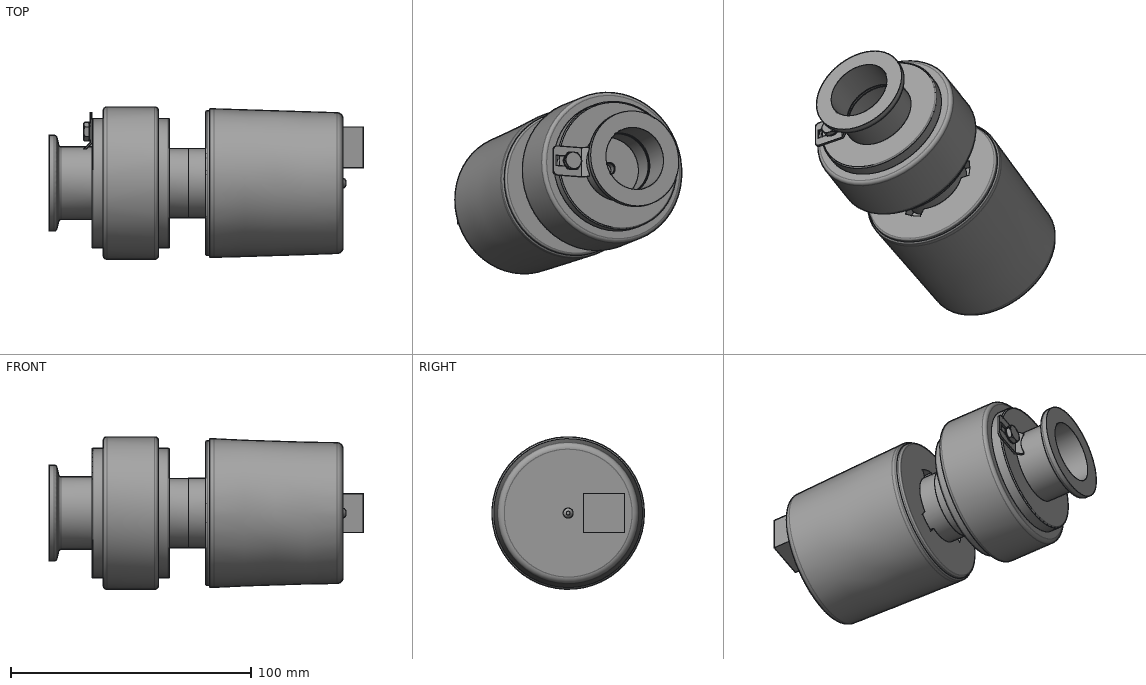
import cadquery as cq
import math


flange_radius = 20.0
flange_thickness = 3.0
flange_rim_fillet = 1.3
flange_root_fillet = 0.9
neck_start_x = 4.2
neck_radius = 15.2

hub_start_x = 17.8
hub_end_x = 50.1
hub_radius = 54.0 / 2
hub_edge_fillet = 0.5
collar_start_x = 22.5
collar_end_x = 45.5
collar_radius = 63.5 / 2
collar_fillet = 1.6

bore_radius = 26.2 / 2
rib_start_x = 14.3
rib_width = 1.2
rib_height = 0.3
bore_floor_x = 26.2
socket_radius = 4.6 / 2
socket_depth = 3.9
socket_rim_radius = 5.1 / 2
socket_rim_depth = 0.5

rear_neck_radius = 29.0 / 2
rear_neck_seam_x = 57.9
rear_neck_step = 0.07

housing_start_x = 65.1
housing_end_x = 122.4
lip_radius = 30.2
lip_edge_fillet = 0.8
lip_end_x = 66.7
shoulder_radius = 31.0
shoulder_fillet = 0.5
shoulder_end_x = 68.6
housing_rear_radius = 29.3
housing_rear_fillet = 2.7

window_count = 3
window_width = 8.0
window_outer_radius = 18.0
window_depth = 3.9

total_length = 130.8
connector_width = 17
connector_height = 16.2
connector_center_y = 14.9
dome_base_radius = 2.1
dome_tip_radius = 0.8
dome_height = 1.2

bracket_thickness = 0.8
bracket_width = 12.3
bracket_outer_y = 29.4
bracket_corner_radius = 1.8
bracket_bend_y = 16.9
bracket_foot_y = 14.3
slot_inner_y = 23.8
slot_outer_y = 28.2
slot_width = 4.3

nut_center_y = 21.5
nut_across_flats = 6.9
nut_corner_diameter = nut_across_flats / math.cos(math.pi / 6)
nut_thickness = 2.6
nut_washer_thickness = 0.5
nut_chamfer = 0.5


def rod(start_x, end_x, radius):
    """Cylinder on the common axis between two X positions."""
    return cq.Workplane("YZ").workplane(offset=start_x).circle(radius).extrude(end_x - start_x)


def circle_at(x):
    """Selector for the round edge centred on the common axis at one X position."""
    reach = 0.1
    return cq.selectors.BoxSelector((x - reach, -reach, -reach), (x + reach, reach, reach))


def make_pipe_end():
    """Flange with a conical back, running into the neck."""
    pipe_end = (
        cq.Workplane("XY")
        .lineTo(0, flange_radius)
        .lineTo(flange_thickness, flange_radius)
        .lineTo(neck_start_x, neck_radius)
        .lineTo(hub_start_x, neck_radius)
        .lineTo(hub_start_x, 0)
        .close()
        .revolve(360, (0, 0, 0), (1, 0, 0))
    )
    rounded_root = pipe_end.edges(circle_at(neck_start_x)).fillet(flange_root_fillet)
    return rounded_root.edges(circle_at(flange_thickness)).fillet(flange_rim_fillet)


def make_union():
    """Hub surrounded by a wider collar, all outer edges rounded."""
    hub = rod(hub_start_x, hub_end_x, hub_radius).edges().fillet(hub_edge_fillet)
    collar = rod(collar_start_x, collar_end_x, collar_radius).edges().fillet(collar_fillet)
    return hub.union(collar)


def make_bore():
    """Bore from the flange face, narrowed by a rib, with the stem socket beyond its floor."""
    rib_end_x = rib_start_x + rib_width
    socket_end_x = bore_floor_x + socket_depth
    return (
        rod(0, rib_start_x, bore_radius)
        .union(rod(rib_start_x, rib_end_x, bore_radius - rib_height))
        .union(rod(rib_end_x, bore_floor_x, bore_radius))
        .union(rod(bore_floor_x, bore_floor_x + socket_rim_depth, socket_rim_radius))
        .union(rod(bore_floor_x, socket_end_x, socket_radius))
    )


def make_rear_neck():
    """Neck from the hub into the housing, down to the floor of the windows."""
    front = rod(hub_end_x, rear_neck_seam_x, rear_neck_radius - rear_neck_step)
    return front.union(rod(rear_neck_seam_x, housing_start_x + window_depth, rear_neck_radius))


def make_housing():
    """Slightly tapered housing with a narrow front lip and a rounded shoulder."""
    body = (
        cq.Workplane("XY")
        .moveTo(housing_start_x, 0)
        .lineTo(housing_start_x, lip_radius - lip_edge_fillet)
        .radiusArc((housing_start_x + lip_edge_fillet, lip_radius), lip_edge_fillet)
        .lineTo(lip_end_x, lip_radius)
        .lineTo(lip_end_x, shoulder_radius - shoulder_fillet)
        .radiusArc((lip_end_x + shoulder_fillet, shoulder_radius), shoulder_fillet)
        .lineTo(shoulder_end_x, shoulder_radius)
        .lineTo(housing_end_x, housing_rear_radius)
        .lineTo(housing_end_x, 0)
        .close()
        .revolve(360, (0, 0, 0), (1, 0, 0))
    )
    return body.faces(">X").edges().fillet(housing_rear_fillet)


def make_windows():
    """Parallel-sided pockets around the rear neck, ending on a common circle."""
    block_length = window_outer_radius + 1.3
    pockets = cq.Workplane("YZ")
    for index in range(window_count):
        pocket = (
            cq.Workplane("YZ")
            .workplane(offset=housing_start_x)
            .center(-block_length / 2, 0)
            .rect(block_length, window_width)
            .extrude(window_depth)
            .rotate((0, 0, 0), (1, 0, 0), index * 360 / window_count)
        )
        pockets = pockets.union(pocket)
    return pockets.intersect(rod(housing_start_x, housing_start_x + window_depth, window_outer_radius))


def make_connector():
    """Rectangular connector block on the rear face."""
    return (
        cq.Workplane("YZ")
        .workplane(offset=housing_end_x)
        .center(connector_center_y, 0)
        .rect(connector_width, connector_height)
        .extrude(total_length - housing_end_x)
    )


def make_dome():
    """Small round-shouldered indicator in the middle of the rear face."""
    tip_x = housing_end_x + dome_height
    return (
        cq.Workplane("XY")
        .moveTo(housing_end_x, 0)
        .lineTo(housing_end_x, dome_base_radius)
        .radiusArc((tip_x, dome_tip_radius), dome_base_radius)
        .lineTo(tip_x, 0)
        .close()
        .revolve(360, (0, 0, 0), (1, 0, 0))
    )


def make_bracket():
    """Flat tab on the hub face with a foot bent 45 degrees towards the neck."""
    front_x = hub_start_x - bracket_thickness
    bend_shift = bracket_thickness * math.tan(math.pi / 8)
    foot_reach = bracket_bend_y - bracket_foot_y
    foot_front_x = front_x - foot_reach
    foot_back_x = foot_front_x + bracket_thickness * math.sqrt(2)
    tab = (
        cq.Workplane("XY")
        .workplane(offset=-bracket_width / 2)
        .moveTo(front_x, bracket_outer_y)
        .lineTo(hub_start_x, bracket_outer_y)
        .lineTo(hub_start_x, bracket_bend_y - bend_shift)
        .lineTo(foot_back_x, bracket_foot_y)
        .lineTo(foot_front_x, bracket_foot_y)
        .lineTo(front_x, bracket_bend_y)
        .close()
        .extrude(bracket_width)
        .edges("|X and >Y")
        .fillet(bracket_corner_radius)
    )
    slot = (
        cq.Workplane("YZ")
        .workplane(offset=front_x)
        .center((slot_inner_y + slot_outer_y) / 2, 0)
        .rect(slot_outer_y - slot_inner_y, slot_width)
        .extrude(bracket_thickness)
    )
    return tab.cut(slot)


def make_nut():
    """Hexagon nut with corners along Y, on a round washer face."""
    seat_x = hub_start_x - bracket_thickness
    washer_x = seat_x - nut_washer_thickness
    outer_x = seat_x - nut_thickness
    hexagon = (
        cq.Workplane("YZ")
        .workplane(offset=outer_x)
        .center(nut_center_y, 0)
        .polygon(6, nut_corner_diameter)
        .extrude(washer_x - outer_x)
    )
    corner_trim = (
        cq.Workplane("YZ")
        .workplane(offset=outer_x)
        .center(nut_center_y, 0)
        .circle(nut_corner_diameter / 2)
        .extrude(washer_x - outer_x)
        .faces("<X")
        .chamfer(nut_chamfer)
    )
    washer = (
        cq.Workplane("YZ")
        .workplane(offset=washer_x)
        .center(nut_center_y, 0)
        .circle(nut_across_flats / 2)
        .extrude(nut_washer_thickness)
    )
    return hexagon.intersect(corner_trim).union(washer)


valve = make_pipe_end().union(make_union()).union(make_bracket()).union(make_nut()).cut(make_bore())
actuator = make_housing().cut(make_windows()).union(make_connector()).union(make_dome())
result = valve.union(make_rear_neck()).union(actuator)